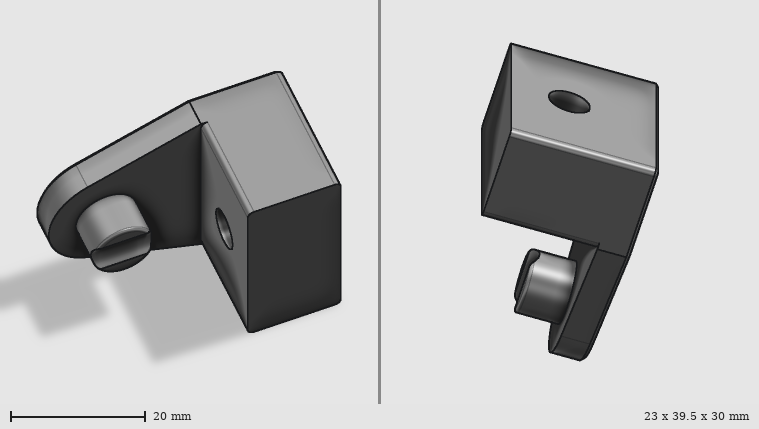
import cadquery as cq
import math

width = 23.0
length = 39.5
height = 30.0
plate_thickness = 5.0
block_depth = 15.0
edge_radius = 1.03
face_chamfer = 0.5

nose_radius = 9.25
pin_diameter = 9.75
pin_length = 7.0
pin_tip_radius = 0.5

hole_diameter = 6.4
hole_x = 13.98

back_y = length / 2
block_front_y = back_y - block_depth
nose_y = -length / 2 + nose_radius
half_height = height / 2


def make_plate():
    """Plate with straight flanks running tangent into the round nose."""
    run = block_front_y - nose_y
    corner_distance = math.hypot(run, half_height)
    normal_angle = math.atan2(half_height, run) + math.acos(nose_radius / corner_distance)
    tangent_y = nose_y + nose_radius * math.cos(normal_angle)
    tangent_z = nose_radius * math.sin(normal_angle)
    plate = (
        cq.Workplane("YZ")
        .moveTo(back_y, -half_height)
        .lineTo(block_front_y, -half_height)
        .lineTo(tangent_y, -tangent_z)
        .threePointArc((nose_y - nose_radius, 0), (tangent_y, tangent_z))
        .lineTo(block_front_y, half_height)
        .lineTo(back_y, half_height)
        .close()
        .extrude(plate_thickness)
    )
    rounded = plate.edges("|X and >Y").fillet(edge_radius)
    return rounded.faces("<X").edges().chamfer(face_chamfer)


def make_block():
    """Mounting block continuing from the plate, rounded along its X edges."""
    block_width = width - plate_thickness
    return (
        cq.Workplane("XY")
        .box(block_width, block_depth, height, centered=(False, False, True))
        .edges("|X")
        .fillet(edge_radius)
        .translate((plate_thickness, block_front_y, 0))
    )


def make_pin():
    """Round pin with a rounded tip, pointing toward +X."""
    radius = pin_diameter / 2
    return (
        cq.Workplane("YZ", origin=(plate_thickness, nose_y, 0))
        .circle(radius)
        .extrude(pin_length)
        .faces(">X")
        .edges()
        .fillet(pin_tip_radius)
    )


def make_hole():
    """Cutter along the full Y length; it also notches the pin tip."""
    return (
        cq.Workplane("XZ", origin=(hole_x, back_y, 0))
        .circle(hole_diameter / 2)
        .extrude(length)
    )


body = make_plate().union(make_block()).union(make_pin())
result = body.cut(make_hole())